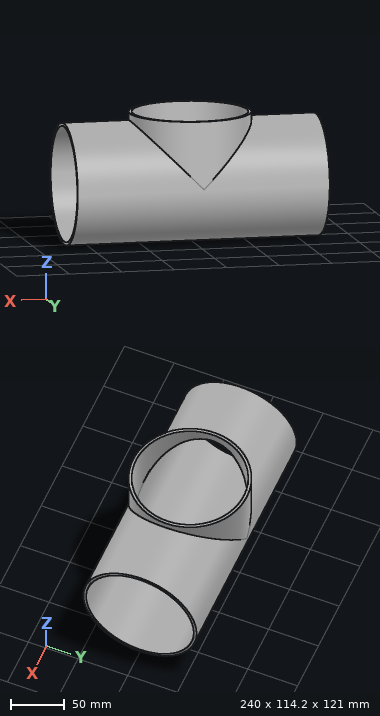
import cadquery as cq

run_length = 240.0
outer_diameter = 114.2
inner_diameter = 108.2
overall_height = 121.0

branch_height = overall_height - outer_diameter / 2


def tee_solid(diameter):
    """Full-length run cylinder joined with an upward branch of equal diameter."""
    radius = diameter / 2
    run = cq.Workplane("YZ").circle(radius).extrude(run_length / 2, both=True)
    branch = cq.Workplane("XY").circle(radius).extrude(branch_height)
    return run.union(branch)


result = tee_solid(outer_diameter).cut(tee_solid(inner_diameter))